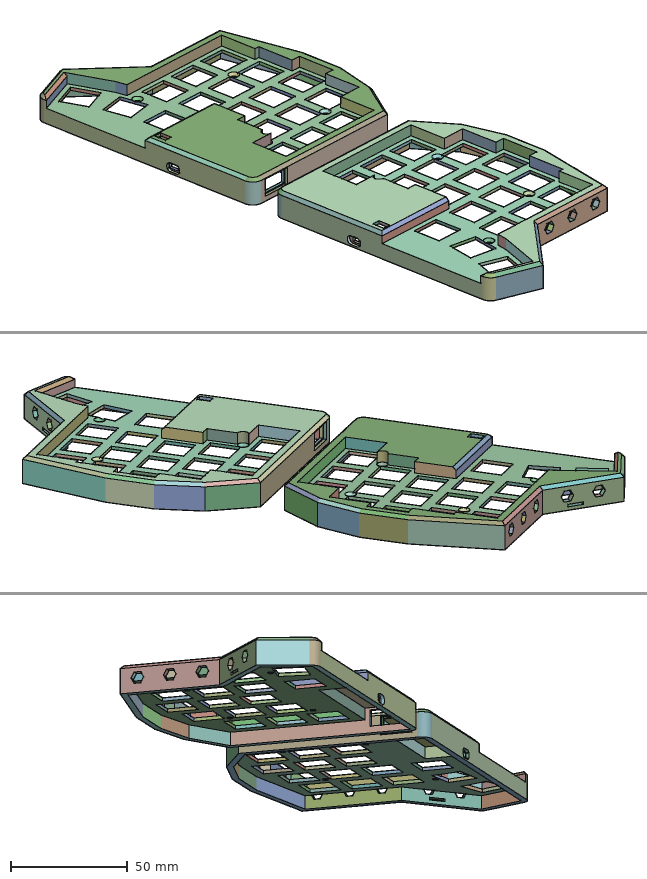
import cadquery as cq
import math

length = 274.8
depth = 105.3
height = 12.6
half_gap = 5.5
front_y = -depth / 2
back_y = depth / 2

rim_width = 5.0
wall = 3.0
plate_top = 7.5
plate_thickness = 1.5
lid_thickness = 1.5
plate_underside = plate_top - plate_thickness
lid_underside = height - lid_thickness
bevel = 1.5
corner_radius = 5.0

row_count = 3
column_drops = [7 / 8, 2 / 8, 0, 2 / 8, 3 / 8]
column_count = len(column_drops)
grid_width = 95.0
key_pitch = grid_width / column_count
column_height = row_count * key_pitch
switch_hole = 14.0
well_inner_x = half_gap + rim_width
well_back_y = back_y - rim_width
column_edges = [well_inner_x + i * key_pitch for i in range(column_count + 1)]
column_backs = [well_back_y - drop * key_pitch for drop in column_drops]

inner_thumb = (column_edges[3] + key_pitch / 2, -27.5, 0)
middle_thumb = (99.0, -29.5, 10)
outer_thumb = (119.8, -35.2, 20)

outer_x = column_edges[-1] + rim_width
outer_back_y = 44.5
crown_inner_x = 47.0
crown_outer_x = 69.3
shoulder_x = 25.8
shoulder_y = 47.3
inner_back_y = 34.0
tip_x = length / 2
tip_y = -27.8
wing_turn = 45
wing_root_y = tip_y + (tip_x - outer_x) / math.tan(math.radians(wing_turn))
wing_front_x = tip_x - (tip_y - front_y) * math.tan(math.radians(outer_thumb[2]))

lid_outer_x = column_edges[3]

screw_hole = 2.4
screw_head = 5.0
screw_inset = 2.5
outer_screw = (100.0, -20.3)
screw_points = [
    (column_edges[1] + screw_inset, column_backs[1] - key_pitch),
    (column_edges[4] - screw_inset, column_backs[3] - key_pitch),
    (column_edges[1] + screw_inset, column_backs[1] - column_height),
    outer_screw,
]

socket_corner_width = 5.8
side_socket_count = 3
wing_socket_count = 2
socket_spacing = 14.8
socket_z = 6.5

wing_slot_length = 7.1
wing_slot_height = 1.0
wing_slot_z = 2.2
wing_slot_offset = 3.5

recess_depth = wall / 2
switch_slot_x = 51.5
switch_slot_z = 3.0
switch_slot_length = 7.5
switch_slot_height = 4.0
lever_length = 5.2
lever_height = 2.5
lever_offset = 0.8
lid_window_x = 62.0
lid_window_y = -47.0
lid_window_length = 6.0
lid_window_width = 3.8
port_y = -38.0
port_z = 6.5
port_width = 14.3
port_height = 8.2
port_step = 0.5


def thumb_cell_point(key, along, across):
    """Point at the given offsets from a thumb key's centre, in its tilted frame."""
    x, y, tilt = key
    angle = math.radians(tilt)
    return (
        x + along * math.cos(angle) + across * math.sin(angle),
        y - along * math.sin(angle) + across * math.cos(angle),
    )


def cell_back_line_y(key, x):
    """Y, at x, of the line through the back edge of a thumb key's cell."""
    edge_x, edge_y = thumb_cell_point(key, 0, key_pitch / 2)
    return edge_y - (x - edge_x) * math.tan(math.radians(key[2]))


def half_outline():
    return [
        (half_gap, front_y),
        (wing_front_x, front_y),
        (tip_x, tip_y),
        (outer_x, wing_root_y),
        (outer_x, outer_back_y),
        (crown_outer_x, back_y),
        (crown_inner_x, back_y),
        (shoulder_x, shoulder_y),
        (half_gap, inner_back_y),
    ]


def well_outline():
    """Open key area: stepped round the columns, then round the thumb keys to the front."""
    points = [(lid_outer_x, front_y)]
    for i in (2, 1, 0):
        column_front = column_backs[i] - column_height
        points += [(column_edges[i + 1], column_front), (column_edges[i], column_front)]
    for i in range(column_count):
        points += [(column_edges[i], column_backs[i]), (column_edges[i + 1], column_backs[i])]
    well_outer_x = column_edges[-1]
    points.append((well_outer_x, cell_back_line_y(middle_thumb, well_outer_x)))
    middle_slope = math.tan(math.radians(middle_thumb[2]))
    outer_slope = math.tan(math.radians(outer_thumb[2]))
    rise = cell_back_line_y(outer_thumb, well_outer_x) - cell_back_line_y(middle_thumb, well_outer_x)
    bend_x = well_outer_x + rise / (outer_slope - middle_slope)
    points.append((bend_x, cell_back_line_y(outer_thumb, bend_x)))
    corner = thumb_cell_point(outer_thumb, key_pitch / 2, key_pitch / 2)
    points.append(corner)
    points.append((corner[0] - (corner[1] - front_y) * outer_slope, front_y))
    return points


def prism(points, bottom, top):
    return cq.Workplane("XY").workplane(offset=bottom).polyline(points).close().extrude(top - bottom)


def shell():
    body = prism(half_outline(), 0, height)
    for corner in [(half_gap, front_y), (wing_front_x, front_y)]:
        body = body.edges(cq.NearestToPointSelector((*corner, height / 2))).fillet(corner_radius)
    body = body.faces(">Z").edges().chamfer(bevel)

    well = well_outline()
    body = body.cut(prism(well, plate_top, height))
    lid_edge = (lid_outer_x, (front_y + well[1][1]) / 2, height)
    thumb_edge = ((well[-1][0] + well[-2][0]) / 2, (well[-1][1] + well[-2][1]) / 2, height)
    for middle in (lid_edge, thumb_edge):
        body = body.edges(cq.NearestToPointSelector(middle)).chamfer(bevel)
    return body


def underside_cavity():
    """Hollow under the plate, with a taller bay for the controller under the lid."""
    inner = cq.Workplane("XY").polyline(half_outline()).close().offset2D(-wall, "intersection")
    cavity = inner.extrude(plate_underside)
    bay_back = column_backs[0] - column_height - wall
    bay_corners = [
        (half_gap + wall, front_y + wall),
        (lid_outer_x - wall, front_y + wall),
        (lid_outer_x - wall, bay_back),
        (half_gap + wall, bay_back),
    ]
    bay = prism(bay_corners, 0, lid_underside)
    return cavity.union(bay)


def switch_holes():
    keys = []
    for i in range(column_count):
        for row in range(row_count):
            keys.append((column_edges[i] + key_pitch / 2, column_backs[i] - (row + 0.5) * key_pitch, 0))
    keys += [inner_thumb, middle_thumb, outer_thumb]
    cutter = cq.Workplane("XY")
    for x, y, tilt in keys:
        hole = cq.Workplane("XY").rect(switch_hole, switch_hole).extrude(plate_top)
        cutter = cutter.add(hole.rotate((0, 0, 0), (0, 0, 1), -tilt).translate((x, y, 0)))
    return cutter.combine()


def screw_holes():
    """Countersunk holes, kept clear above the plate for the screw heads."""
    sink = (screw_head - screw_hole) / 2
    profile = [
        (0, 0),
        (screw_hole / 2, 0),
        (screw_hole / 2, plate_top - sink),
        (screw_head / 2, plate_top),
        (screw_head / 2, height),
        (0, height),
    ]
    hole = cq.Workplane("XZ").polyline(profile).close().revolve(360, (0, 0, 0), (0, 1, 0))
    cutter = cq.Workplane("XY")
    for x, y in screw_points:
        cutter = cutter.add(hole.translate((x, y, 0)))
    return cutter.combine()


def wall_plane(x, y, z, turn):
    """Plane on a wall, with its normal pointing outwards, turned about Z from +X."""
    angle = math.radians(turn)
    return cq.Plane(
        origin=(x, y, z),
        xDir=(-math.sin(angle), math.cos(angle), 0),
        normal=(math.cos(angle), math.sin(angle), 0),
    )


def wall_sockets():
    side = wall_plane(outer_x, (outer_back_y + wing_root_y) / 2, socket_z, 0)
    wing = wall_plane((outer_x + tip_x) / 2, (wing_root_y + tip_y) / 2, socket_z, wing_turn)
    cutter = cq.Workplane("XY")
    for plane, count in ((side, side_socket_count), (wing, wing_socket_count)):
        sockets = cq.Workplane(plane).rarray(socket_spacing, 2.7, count, 1)
        cutter = cutter.add(sockets.polygon(6, socket_corner_width).extrude(-wall))
    slot = cq.Workplane(wing).center(wing_slot_offset, wing_slot_z - socket_z)
    cutter = cutter.add(slot.rect(wing_slot_length, wing_slot_height).extrude(-wall))
    return cutter.combine()


def switch_slot():
    """Rounded recess in the front wall with an off-centre lever opening behind it."""
    face = wall_plane(switch_slot_x, front_y, switch_slot_z, -90)
    recess = cq.Workplane(face).slot2D(switch_slot_length, switch_slot_height).extrude(-recess_depth)
    opening = cq.Workplane(face).center(lever_offset, 0).rect(lever_length, lever_height).extrude(-wall)
    return recess.union(opening)


def lid_window():
    window = cq.Workplane("XY", origin=(lid_window_x, lid_window_y, lid_underside))
    return window.rect(lid_window_length, lid_window_width).extrude(lid_thickness)


def port():
    """Stepped connector opening in the inner side wall."""
    face = wall_plane(half_gap, port_y, port_z, 180)
    recess = cq.Workplane(face).rect(port_width, port_height).extrude(-recess_depth)
    opening = cq.Workplane(face).rect(port_width - 2 * port_step, port_height - 2 * port_step).extrude(-wall)
    return recess.union(opening)


def case_half():
    """Right half of the case."""
    body = shell().cut(underside_cavity())
    for feature in (switch_holes, screw_holes, wall_sockets, switch_slot, lid_window, port):
        body = body.cut(feature())
    return body


right_half = case_half()
left_half = right_half.mirror("YZ")
result = cq.Compound.makeCompound([right_half.val(), left_half.val()])